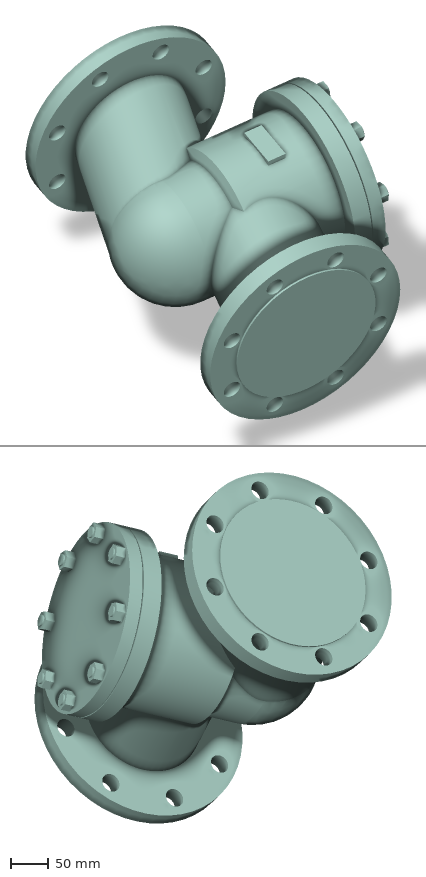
import cadquery as cq
import math


face_to_face = 480.0
flange_diameter = 300.0
flange_thickness = 25.5
raised_face_diameter = 218.5
raised_face_height = 3.0
flange_bolt_circle = 250.0
flange_hole_diameter = 26.0
bolt_count = 8
half_pitch = 180 / bolt_count

pipe_radius = 84.0
inlet_tilt = 17.4
outlet_tilt = 12.6

bowl_radius = 91.0
bowl_center_y = -59.5
waist_top_y = -1.0
neck_bottom_y = 6.5
neck_radius = 106.0

bonnet_radius = 132.5
bonnet_bottom_y = 143.5
gasket_bottom_y = 170.0
gasket_thickness = 2.0
gasket_radius = neck_radius
cover_top_y = 191.0
bonnet_bolt_circle = 230.5
nut_across_flats = 24.0
nut_height = 13.5
stud_diameter = 16.0
stud_length = 16.0

plate_width = 62.0
plate_length = 27.5
plate_center_y = 82.0
plate_top_z = 110.0

pipe_end_x = face_to_face / 2 - raised_face_height - flange_thickness


def end_flange():
    """Flange on the -X side with its raised face and bolt holes."""
    plate = (
        cq.Workplane("YZ", origin=(-pipe_end_x, 0, 0))
        .circle(flange_diameter / 2)
        .extrude(-flange_thickness)
        .faces("<X")
        .workplane(origin=(0, 0, 0))
        .circle(raised_face_diameter / 2)
        .extrude(raised_face_height)
    )
    holes = (
        cq.Workplane("YZ", origin=(-face_to_face / 2, 0, 0))
        .polarArray(flange_bolt_circle / 2, half_pitch, 360, bolt_count)
        .circle(flange_hole_diameter / 2)
        .extrude(flange_thickness + raised_face_height)
    )
    return plate.cut(holes)


def tilted_pipe(side, tilt):
    """Pipe from the flange at side * pipe_end_x, tilted in XY, to the plane X = 0."""
    angle = math.radians(tilt)
    along_x = -side * math.cos(angle)
    along_y = side * math.sin(angle)
    axis_length = pipe_end_x / math.cos(angle)
    overrun = pipe_radius * math.tan(angle)
    start = (side * pipe_end_x - overrun * along_x, -overrun * along_y, 0)
    plane = cq.Plane(origin=start, xDir=(0, 0, 1), normal=(along_x, along_y, 0))
    pipe = cq.Workplane(plane).circle(pipe_radius).extrude(axis_length + overrun)
    between_flanges = cq.Workplane("XY").box(2 * pipe_end_x, face_to_face, face_to_face)
    return pipe.intersect(between_flanges)


def body():
    """Bowl, waist, neck, bonnet flange, gasket and cover, revolved about Y."""
    gasket_top_y = gasket_bottom_y + gasket_thickness
    arc_offset = bowl_radius * math.sin(math.radians(45))
    return (
        cq.Workplane("XY")
        .moveTo(0, bowl_center_y - bowl_radius)
        .threePointArc((arc_offset, bowl_center_y - arc_offset), (bowl_radius, bowl_center_y))
        .lineTo(bowl_radius, waist_top_y)
        .lineTo(neck_radius, neck_bottom_y)
        .lineTo(neck_radius, bonnet_bottom_y)
        .lineTo(bonnet_radius, bonnet_bottom_y)
        .lineTo(bonnet_radius, gasket_bottom_y)
        .lineTo(gasket_radius, gasket_bottom_y)
        .lineTo(gasket_radius, gasket_top_y)
        .lineTo(bonnet_radius, gasket_top_y)
        .lineTo(bonnet_radius, cover_top_y)
        .lineTo(0, cover_top_y)
        .close()
        .revolve(360, (0, 0, 0), (0, 1, 0))
    )


def bonnet_nuts():
    """Hexagon nuts with stud ends on the cover, one corner of each nut pointing outwards."""
    nut_corner_diameter = nut_across_flats / math.cos(math.radians(30))
    cover_plane = cq.Plane(origin=(0, cover_top_y, 0), xDir=(1, 0, 0), normal=(0, 1, 0))
    positions = cq.Workplane(cover_plane).polarArray(
        bonnet_bolt_circle / 2, half_pitch, 360, bolt_count
    )
    nuts = positions.polygon(6, nut_corner_diameter).extrude(nut_height)
    studs = positions.circle(stud_diameter / 2).extrude(stud_length)
    return nuts.union(studs)


def name_plate():
    """Flat plate on the +Z side of the neck, reaching down into the neck wall."""
    return (
        cq.Workplane("XY", origin=(0, plate_center_y, 0))
        .rect(plate_width, plate_length)
        .extrude(plate_top_z)
    )


inlet_flange = end_flange()
result = (
    body()
    .union(tilted_pipe(-1, inlet_tilt))
    .union(tilted_pipe(1, outlet_tilt))
    .union(name_plate())
    .union(bonnet_nuts())
    .union(inlet_flange)
    .union(inlet_flange.mirror("YZ"))
)